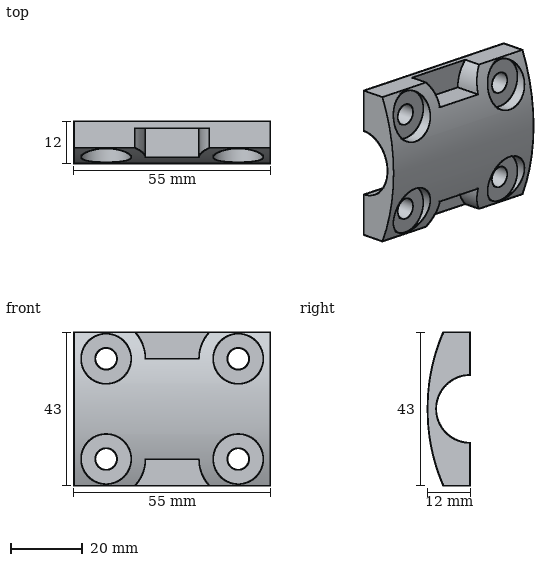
import cadquery as cq

length = 55.0
height = 43.0
depth = 11.95
edge_depth = 7.5

channel_radius = 9.45

hole_x = 18.5
hole_z = 14.0
hole_diameter = 6.0
counterbore_diameter = 14.0
counterbore_floor = edge_depth

pocket_wall = 2.0
boss_radius = 11.0

hole_centers = [(x, z) for x in (-hole_x, hole_x) for z in (-hole_z, hole_z)]


def forward_cylinders(centers, diameter, start):
    """Cylinders at the given (x, z) centers running from `start` behind the front to beyond it."""
    return (
        cq.Workplane("XZ", origin=(0, -start, 0))
        .pushPoints(centers)
        .circle(diameter / 2)
        .extrude(depth)
    )


def crowned_block():
    half_height = height / 2
    return (
        cq.Workplane("YZ", origin=(-length / 2, 0, 0))
        .moveTo(0, -half_height)
        .lineTo(-edge_depth, -half_height)
        .threePointArc((-depth, 0), (-edge_depth, half_height))
        .lineTo(0, half_height)
        .close()
        .extrude(length)
    )


def channel():
    return cq.Workplane("YZ").circle(channel_radius).extrude(length / 2, both=True)


def edge_pockets():
    pocket_height = height / 2 - hole_z
    pockets = (
        cq.Workplane("XZ", origin=(0, -pocket_wall, 0))
        .pushPoints([(0, side * (hole_z + pocket_height / 2)) for side in (-1, 1)])
        .rect(2 * hole_x, pocket_height)
        .extrude(depth)
    )
    return pockets.cut(forward_cylinders(hole_centers, 2 * boss_radius, pocket_wall))


result = (
    crowned_block()
    .cut(channel())
    .cut(edge_pockets())
    .cut(forward_cylinders(hole_centers, hole_diameter, 0))
    .cut(forward_cylinders(hole_centers, counterbore_diameter, counterbore_floor))
)